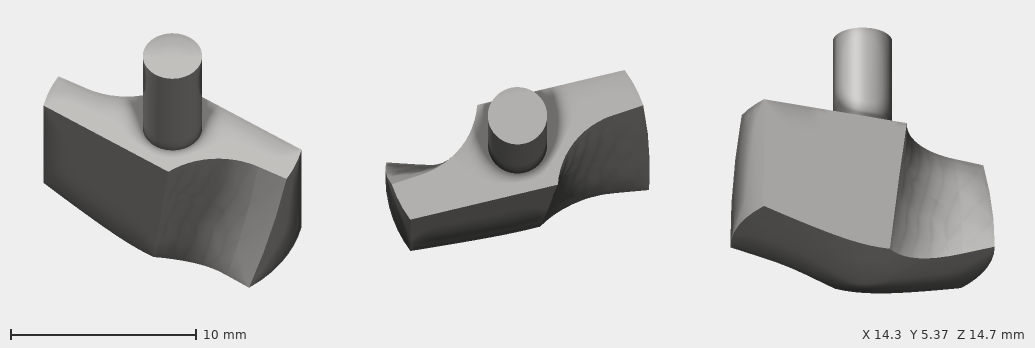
import cadquery as cq
import math

total_height = 14.7
body_diameter = 14.27
body_thickness = 5.37
shank_diameter = 3.2

body_height = 8.67
tip_height = 2.16
body_radius = body_diameter / 2

lip_start_x = 5.37
lip_start_y = 0.37
lip_angle = 5.2
flute_radius = 4.38
cutter_reach = 8.82
flute_twist = 32.3


def make_body():
    """Flat-sided slab cut from a cylinder with a conical tip."""
    turned = (
        cq.Workplane("XZ")
        .polyline([
            (0, 0),
            (body_radius, tip_height),
            (body_radius, body_height),
            (0, body_height),
        ])
        .close()
        .revolve(360, (0, 0), (0, 1))
    )
    slab = cq.Workplane("XY").box(
        body_diameter, body_thickness, body_height, centered=(True, True, False)
    )
    return turned.intersect(slab)


def make_shank():
    """Round pin standing on the body."""
    return (
        cq.Workplane("XY", origin=(0, 0, body_height))
        .circle(shank_diameter / 2)
        .extrude(total_height - body_height)
    )


def make_flute_cutter():
    """Twisted prism that removes the flute on the +X side."""
    lip = math.radians(lip_angle)
    center_x = lip_start_x + flute_radius * math.sin(lip)
    center_y = lip_start_y - flute_radius * math.cos(lip)
    arc_middle_angle = (math.pi / 2 + lip + math.pi) / 2
    arc_middle = (
        center_x + flute_radius * math.cos(arc_middle_angle),
        center_y + flute_radius * math.sin(arc_middle_angle),
    )
    lip_end_y = lip_start_y + (cutter_reach - lip_start_x) * math.tan(lip)

    top_plane = cq.Plane(origin=(0, 0, body_height), xDir=(1, 0, 0), normal=(0, 0, -1))
    return (
        cq.Workplane(top_plane)
        .moveTo(center_x - flute_radius, -center_y)
        .threePointArc((arc_middle[0], -arc_middle[1]), (lip_start_x, -lip_start_y))
        .lineTo(cutter_reach, -lip_end_y)
        .lineTo(cutter_reach, -center_y)
        .close()
        .twistExtrude(body_height, flute_twist)
    )


result = make_body()
flute_cutter = make_flute_cutter()
for turn in (0, 180):
    result = result.cut(flute_cutter.rotate((0, 0, 0), (0, 0, 1), turn))
result = result.union(make_shank())